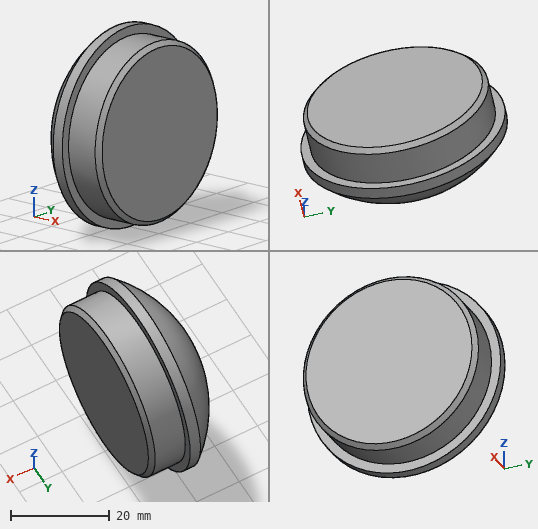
import cadquery as cq
import math

rim_diameter = 42.4
dome_height = 10.0
rim_width = 2.4
plug_diameter = 38.4
plug_length = 8.05
end_chamfer = 1.0

rim_radius = rim_diameter / 2
plug_radius = plug_diameter / 2
plug_start = dome_height + rim_width
plug_end = plug_start + plug_length

sphere_radius = (rim_radius**2 + dome_height**2) / (2 * dome_height)
half_arc_angle = math.asin(rim_radius / sphere_radius) / 2
arc_middle = (
    sphere_radius * (1 - math.cos(half_arc_angle)),
    sphere_radius * math.sin(half_arc_angle),
)

half_profile = (
    cq.Workplane("XY")
    .moveTo(0, 0)
    .threePointArc(arc_middle, (dome_height, rim_radius))
    .lineTo(plug_start, rim_radius)
    .lineTo(plug_start, plug_radius)
    .lineTo(plug_end - end_chamfer, plug_radius)
    .lineTo(plug_end, plug_radius - end_chamfer)
    .lineTo(plug_end, 0)
    .close()
)

result = half_profile.revolve(360, (0, 0, 0), (1, 0, 0))